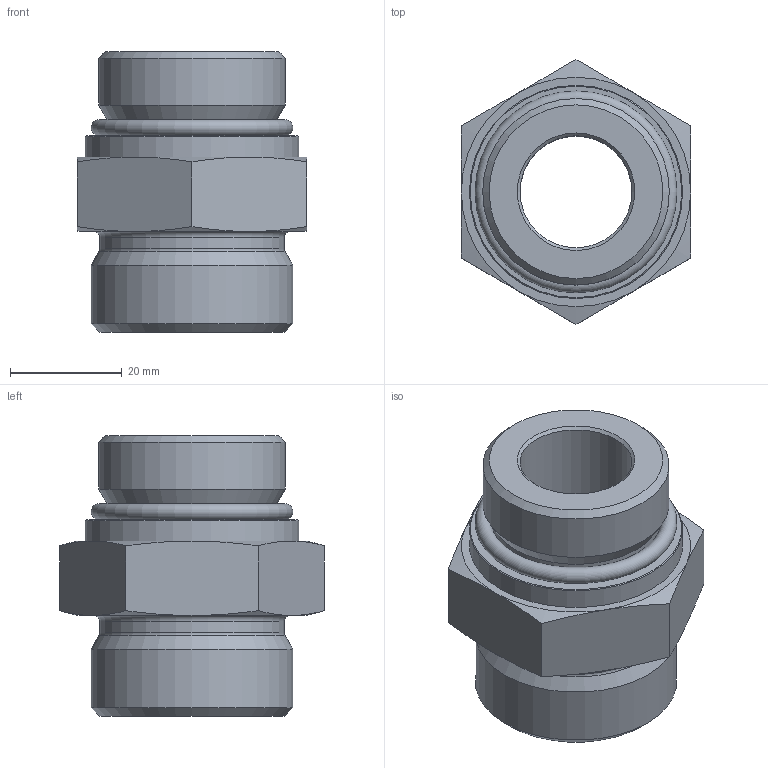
import cadquery as cq
import math

stud_length = 18.0
hex_height = 13.3
collar_height = 3.8
port_length = 15.0
hex_top = stud_length + hex_height
collar_top = hex_top + collar_height
total_height = collar_top + port_length

stud_diameter = 36.0
stud_chamfer = 1.5
stud_cylinder_top = 12.0
relief_diameter = 33.0
relief_fillet = 1.0

across_flats = 41.0
across_corners = across_flats / math.cos(math.radians(30))
hex_chamfer_angle = 15.0

collar_diameter = 38.1
collar_chamfer = 0.15

port_diameter = 33.34
port_chamfer = 1.15
groove_diameter = 30.35
groove_width = 2.9

bore_diameter = 20.0
bore_chamfer = 0.5

runout_angle = 30.0

ring_tube_diameter = 2.86


def runout_height(large_diameter, small_diameter):
    """Axial length of a run-out cone between two diameters."""
    radial_step = (large_diameter - small_diameter) / 2
    return radial_step / math.tan(math.radians(runout_angle))


def revolve_profile(profile):
    """Turn a closed profile, drawn in the XZ plane, around the Z axis."""
    return profile.close().revolve(360, (0, 0, 0), (0, 1, 0))


def make_stud():
    """Large threaded end: chamfer, run-out cone, relief groove and its fillets."""
    radius = stud_diameter / 2
    relief_radius = relief_diameter / 2
    relief_start = stud_cylinder_top + runout_height(stud_diameter, relief_diameter)

    tangent = relief_fillet * math.tan(math.radians(runout_angle / 2))
    lean = math.radians(runout_angle)
    cone_end = (relief_radius + tangent * math.sin(lean), relief_start - tangent * math.cos(lean))
    floor_start = (relief_radius, relief_start + tangent)

    profile = (
        cq.Workplane("XZ")
        .moveTo(0, 0)
        .lineTo(radius - stud_chamfer, 0)
        .lineTo(radius, stud_chamfer)
        .lineTo(radius, stud_cylinder_top)
        .lineTo(*cone_end)
        .radiusArc(floor_start, relief_fillet)
        .lineTo(relief_radius, stud_length - relief_fillet)
        .radiusArc((relief_radius + relief_fillet, stud_length), relief_fillet)
        .lineTo(0, stud_length)
    )
    return revolve_profile(profile)


def make_hexagon():
    """Hexagon with corners on the Y axis, its corners chamfered at both ends."""
    prism = (
        cq.Workplane("XY")
        .workplane(offset=stud_length)
        .polygon(6, across_corners)
        .extrude(hex_height)
        .rotate((0, 0, 0), (0, 0, 1), 30)
    )
    flat_radius = across_flats / 2
    corner_radius = across_corners / 2
    corner_drop = (corner_radius - flat_radius) * math.tan(math.radians(hex_chamfer_angle))
    envelope = revolve_profile(
        cq.Workplane("XZ")
        .moveTo(0, stud_length)
        .lineTo(flat_radius, stud_length)
        .lineTo(corner_radius, stud_length + corner_drop)
        .lineTo(corner_radius, hex_top - corner_drop)
        .lineTo(flat_radius, hex_top)
        .lineTo(0, hex_top)
    )
    return prism.intersect(envelope)


def make_port():
    """Collar, O-ring groove and small threaded end."""
    collar_radius = collar_diameter / 2
    groove_radius = groove_diameter / 2
    radius = port_diameter / 2
    groove_top = collar_top + groove_width
    runout_top = groove_top + runout_height(port_diameter, groove_diameter)
    return revolve_profile(
        cq.Workplane("XZ")
        .moveTo(0, hex_top)
        .lineTo(collar_radius, hex_top)
        .lineTo(collar_radius, collar_top - collar_chamfer)
        .lineTo(collar_radius - collar_chamfer, collar_top)
        .lineTo(groove_radius, collar_top)
        .lineTo(groove_radius, groove_top)
        .lineTo(radius, runout_top)
        .lineTo(radius, total_height - port_chamfer)
        .lineTo(radius - port_chamfer, total_height)
        .lineTo(0, total_height)
    )


def make_bore():
    """Through bore, chamfered at the port end."""
    radius = bore_diameter / 2
    return revolve_profile(
        cq.Workplane("XZ")
        .moveTo(0, 0)
        .lineTo(radius, 0)
        .lineTo(radius, total_height - bore_chamfer)
        .lineTo(radius + bore_chamfer, total_height)
        .lineTo(0, total_height)
    )


def make_fitting():
    return make_stud().union(make_hexagon()).union(make_port()).cut(make_bore())


def make_o_ring():
    tube_radius = ring_tube_diameter / 2
    centre_radius = groove_diameter / 2 + tube_radius
    return (
        cq.Workplane("XZ")
        .center(centre_radius, collar_top + tube_radius)
        .circle(tube_radius)
        .revolve(360, (-centre_radius, 0, 0), (-centre_radius, 1, 0))
    )


fitting = make_fitting()
o_ring = make_o_ring()

result = cq.Compound.makeCompound([fitting.val(), o_ring.val()])